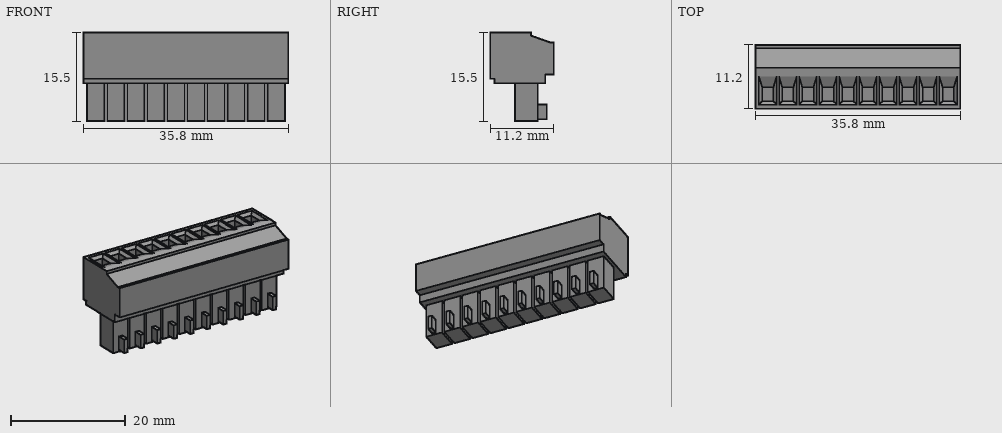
import cadquery as cq

length = 35.8
depth = 11.15
height = 15.5

housing_height = 8.88
top_depth = 7.15
top_step = 0.55
back_drop = 1.75
back_ledge = 0.57
back_notch_depth = 1.5
back_notch_height = 1.5
front_notch_depth = 0.75
front_notch_height = 0.75

plug_width = 3.08
plug_front = 4.33
plug_depth = 4.0
rib_width = 0.7
rib_reach = 1.6
rib_height = 2.6
rib_base = 0.32

entry_width = plug_width
entry_front = 0.75
entry_depth = 4.85
throat_width = 1.97
throat_front = 1.32
throat_depth = 2.47
taper_height = 0.57
throat_height = 1.3

way_count = 10
end_margin = 0.6
first_center = end_margin + plug_width / 2
pitch = (length - 2 * first_center) / (way_count - 1)

housing_bottom = height - housing_height


def centered_box(center_x, front, bottom, width, depth_y, height_z):
    """Box centred on center_x, starting at the given front and bottom."""
    return (
        cq.Workplane("XY")
        .box(width, depth_y, height_z, centered=(True, False, False))
        .translate((center_x, front, bottom))
    )


def make_housing():
    """Constant section with a sloped back shoulder and two notched lower edges."""
    outline = [
        (front_notch_depth, housing_bottom),
        (depth - back_notch_depth, housing_bottom),
        (depth - back_notch_depth, housing_bottom + back_notch_height),
        (depth, housing_bottom + back_notch_height),
        (depth, height - back_drop),
        (depth - back_ledge, height - back_drop),
        (top_depth, height - top_step),
        (top_depth, height),
        (0, height),
        (0, housing_bottom + front_notch_height),
        (front_notch_depth, housing_bottom + front_notch_height),
    ]
    return cq.Workplane("YZ").polyline(outline).close().extrude(length)


def make_plug(center_x):
    """Plug block with a narrow coding rib on its back."""
    block = centered_box(center_x, plug_front, 0, plug_width, plug_depth, housing_bottom)
    rib = centered_box(center_x, plug_front + plug_depth, rib_base, rib_width, rib_reach, rib_height)
    return block.union(rib)


def make_entry(center_x):
    """Wire entry: a funnel tapering down to a straight blind throat."""
    entry_center = entry_front + entry_depth / 2
    throat_center = throat_front + throat_depth / 2
    funnel = (
        cq.Workplane("XY", origin=(center_x, entry_center, height))
        .rect(entry_width, entry_depth)
        .workplane(offset=-taper_height)
        .center(0, throat_center - entry_center)
        .rect(throat_width, throat_depth)
        .loft(ruled=True)
    )
    throat_bottom = height - taper_height - throat_height
    throat = centered_box(center_x, throat_front, throat_bottom, throat_width, throat_depth, throat_height)
    return funnel.union(throat)


result = make_housing()
for way in range(way_count):
    way_center = first_center + way * pitch
    result = result.union(make_plug(way_center))
    result = result.cut(make_entry(way_center))